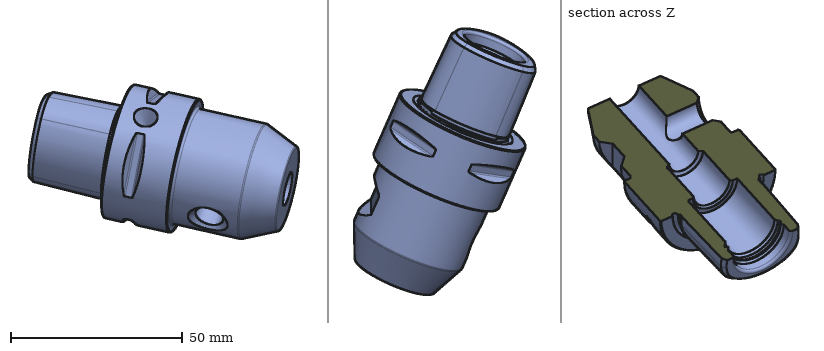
import cadquery as cq
import math

LENGTH = 75.0
NOSE_LENGTH = 1.5
TAPER_END = 22.35
COLLAR_FRONT = 23.55
FLANGE_FRONT = 24.0
FLANGE_LENGTH = 20.0
FLANGE_BACK = FLANGE_FRONT + FLANGE_LENGTH
CONE_START = 64.7

BASE_RADIUS = 13.95
SHANK_TAPER = 1 / 40
LOBE_HEIGHT = 0.8
NOSE_INSET = 1.0
NECK_INSET = 0.15
SIDES = 3
LOBE_SPLIT = 27.5
SPLINE_STEPS = 6

FLANGE_RADIUS = 40.0 / 2
FLANGE_CHAMFER = 0.3
COLLAR_RADIUS = 14.25
RELIEF_START = 23.25
RELIEF_FILLET = 0.7
FACE_GROOVE_WIDTH = 1.5
BODY_RADIUS = 17.25
BODY_FILLET = 0.75
CONE_END_RADIUS = 12.6
CONE_BLEND = 1.05
END_FILLET = 0.5

MOUTH_FILLET = 0.9
MOUTH_RADIUS = 9.6
MOUTH_DEPTH = 3.5
LAND_RADIUS = 18.0 / 2
LAND_START = 4.35
CLAMP_GROOVE_START = 4.8
CLAMP_GROOVE_WIDTH = 1.1
CAVITY_START = 6.9
CAVITY_RADIUS = 8.5
CAVITY_END = 27.0
COUPLING_BORE_RADIUS = 12.4 / 2
COUPLING_CHAMFER = 0.7
COUPLING_BORE_END = 42.0
TOOL_BORE_RADIUS = 10.0 / 2
STEP_HALF_ANGLE = 59.0

GRIP_X = FLANGE_FRONT + 8.0
SLOT_COUNT = 4
SLOT_FLOOR_RADIUS = 17.55
SLOT_FLOOR_WIDTH = 2.5
SLOT_WALL_ANGLE = 30.0
SLOT_FILLET = 0.5
DIMPLE_RADIUS = 7.0 / 2
DIMPLE_HALF_ANGLE = 30.0

SCREW_X = 55.6
SCREW_RADIUS = 8.4 / 2
SCREW_MOUTH_RADIUS = 6.0
FLAT_DISTANCE = 14.4
FLAT_FLOOR_WIDTH = 6.15
FLAT_END_ANGLE = 45.0

CLEARANCE = 1.5


def revolve(profile):
    """Turn a closed (x, radius) profile about the X axis."""
    return profile.close().revolve(360, (0, 0), (1, 0))


def polygon_point(x, mean_radius, angle):
    """Point on the three-lobed outline whose outward normal lies at `angle` from +Z."""
    lobe = LOBE_HEIGHT * math.cos(SIDES * angle)
    slope = -SIDES * LOBE_HEIGHT * math.sin(SIDES * angle)
    support = mean_radius + lobe
    up = support * math.cos(angle) - slope * math.sin(angle)
    across = support * math.sin(angle) + slope * math.cos(angle)
    return cq.Vector(x, across, up)


def polygon_wire(x, mean_radius):
    """Closed outline at station x, split where the lobes meet the flatter sides."""
    pitch = 360 / SIDES
    edges = []
    for side in range(SIDES):
        crest = side * pitch
        stops = (crest - LOBE_SPLIT, crest + LOBE_SPLIT, crest + pitch - LOBE_SPLIT)
        for first, last in zip(stops, stops[1:]):
            step = (last - first) / SPLINE_STEPS
            angles = [math.radians(first + i * step) for i in range(SPLINE_STEPS + 1)]
            points = [polygon_point(x, mean_radius, a) for a in angles]
            tangents = [cq.Vector(0, math.cos(a), -math.sin(a)) for a in (angles[0], angles[-1])]
            edges.append(cq.Edge.makeSpline(points, tangents))
    return cq.Wire.assembleEdges(edges)


def polygon_section(start, start_radius, end, end_radius):
    wires = [polygon_wire(start, start_radius), polygon_wire(end, end_radius)]
    return cq.Workplane(cq.Solid.makeLoft(wires, True))


def shank():
    nose_radius = BASE_RADIUS - SHANK_TAPER * (TAPER_END - NOSE_LENGTH)
    neck_radius = BASE_RADIUS - NECK_INSET
    nose = polygon_section(0, nose_radius - NOSE_INSET, NOSE_LENGTH, nose_radius)
    taper = polygon_section(NOSE_LENGTH, nose_radius, TAPER_END, BASE_RADIUS)
    neck = polygon_section(TAPER_END, neck_radius, FLANGE_FRONT, neck_radius)
    return nose.union(taper).union(neck)


def neck_relief():
    """Ring that trims the lobes down to the collar radius through a concave fillet."""
    fillet_start = RELIEF_START - RELIEF_FILLET
    fillet_top = COLLAR_RADIUS + RELIEF_FILLET
    fillet_middle = RELIEF_FILLET * math.sqrt(0.5)
    outer = fillet_top + CLEARANCE
    return revolve(
        cq.Workplane("XY")
        .moveTo(fillet_start, outer)
        .lineTo(fillet_start, fillet_top)
        .threePointArc(
            (RELIEF_START - fillet_middle, fillet_top - fillet_middle),
            (RELIEF_START, COLLAR_RADIUS),
        )
        .lineTo(FLANGE_FRONT, COLLAR_RADIUS)
        .lineTo(FLANGE_FRONT, outer)
    )


def flange():
    """Flange with a round-bottomed groove between its front face and the collar."""
    groove_outer = COLLAR_RADIUS + FACE_GROOVE_WIDTH
    groove_depth = FACE_GROOVE_WIDTH / 2
    chamfered_radius = FLANGE_RADIUS - FLANGE_CHAMFER
    return revolve(
        cq.Workplane("XY")
        .moveTo(COLLAR_FRONT, 0)
        .lineTo(COLLAR_FRONT, COLLAR_RADIUS)
        .lineTo(FLANGE_FRONT, COLLAR_RADIUS)
        .threePointArc(
            (FLANGE_FRONT + groove_depth, COLLAR_RADIUS + groove_depth),
            (FLANGE_FRONT, groove_outer),
        )
        .lineTo(FLANGE_FRONT, chamfered_radius)
        .lineTo(FLANGE_FRONT + FLANGE_CHAMFER, FLANGE_RADIUS)
        .lineTo(FLANGE_BACK - FLANGE_CHAMFER, FLANGE_RADIUS)
        .lineTo(FLANGE_BACK, chamfered_radius)
        .lineTo(FLANGE_BACK, 0)
    )


def body():
    """Cylindrical body with a conical clamping end and a filleted root at the flange."""
    barrel = revolve(
        cq.Workplane("XY")
        .moveTo(FLANGE_BACK, 0)
        .lineTo(FLANGE_BACK, BODY_RADIUS)
        .lineTo(CONE_START, BODY_RADIUS)
        .lineTo(LENGTH, CONE_END_RADIUS)
        .lineTo(LENGTH, 0)
    )
    barrel = barrel.faces(">X").edges().fillet(END_FILLET)
    cone_edge = cq.selectors.RadiusNthSelector(-1)
    barrel = barrel.faces("%CONE").edges(cone_edge).fillet(CONE_BLEND)
    root_middle = BODY_FILLET * (1 - math.sqrt(0.5))
    root = revolve(
        cq.Workplane("XY")
        .moveTo(FLANGE_BACK, BODY_RADIUS - BODY_FILLET)
        .lineTo(FLANGE_BACK, BODY_RADIUS + BODY_FILLET)
        .threePointArc(
            (FLANGE_BACK + root_middle, BODY_RADIUS + root_middle),
            (FLANGE_BACK + BODY_FILLET, BODY_RADIUS),
        )
        .lineTo(FLANGE_BACK + BODY_FILLET, BODY_RADIUS - BODY_FILLET)
    )
    return barrel.union(root)


def bore():
    """Through bore: rounded mouth, clamping groove, cavity, coupling bore and tool bore."""
    mouth_middle = MOUTH_FILLET * (1 - math.sqrt(0.5))
    groove_end = CLAMP_GROOVE_START + CLAMP_GROOVE_WIDTH
    groove_depth = CLAMP_GROOVE_WIDTH / 2
    bore_step = COUPLING_BORE_RADIUS - TOOL_BORE_RADIUS
    step_length = bore_step / math.tan(math.radians(STEP_HALF_ANGLE))
    return revolve(
        cq.Workplane("XY")
        .moveTo(0, 0)
        .lineTo(0, MOUTH_RADIUS + MOUTH_FILLET)
        .threePointArc((mouth_middle, MOUTH_RADIUS + mouth_middle), (MOUTH_FILLET, MOUTH_RADIUS))
        .lineTo(MOUTH_DEPTH, MOUTH_RADIUS)
        .lineTo(LAND_START, LAND_RADIUS)
        .lineTo(CLAMP_GROOVE_START, LAND_RADIUS)
        .threePointArc(
            (CLAMP_GROOVE_START + groove_depth, LAND_RADIUS + groove_depth),
            (groove_end, LAND_RADIUS),
        )
        .lineTo(CAVITY_START, CAVITY_RADIUS)
        .lineTo(CAVITY_END, CAVITY_RADIUS)
        .lineTo(CAVITY_END, COUPLING_BORE_RADIUS + COUPLING_CHAMFER)
        .lineTo(CAVITY_END + COUPLING_CHAMFER, COUPLING_BORE_RADIUS)
        .lineTo(COUPLING_BORE_END, COUPLING_BORE_RADIUS)
        .lineTo(COUPLING_BORE_END + step_length, TOOL_BORE_RADIUS)
        .lineTo(LENGTH, TOOL_BORE_RADIUS)
        .lineTo(LENGTH, 0)
    )


def trapezoid_bar(x, floor, floor_width, top, wall_angle, length):
    """Bar along Z, centred on x, whose section widens from `floor` to `top` along +Y."""
    half_floor = floor_width / 2
    half_top = half_floor + (top - floor) * math.tan(math.radians(wall_angle))
    outline = [
        (x - half_floor, floor),
        (x + half_floor, floor),
        (x + half_top, top),
        (x - half_top, top),
    ]
    return cq.Workplane("XY").polyline(outline).close().extrude(length / 2, both=True)


def gripper_slots():
    """Straight slots with flared walls across the flange, midway between the Y and Z axes."""
    top = FLANGE_RADIUS + CLEARANCE
    slot = trapezoid_bar(
        GRIP_X, SLOT_FLOOR_RADIUS, SLOT_FLOOR_WIDTH, top, SLOT_WALL_ANGLE, 2 * FLANGE_RADIUS
    )
    slot = slot.faces("<Y").edges("|Z").fillet(SLOT_FILLET)
    pitch = 360 / SLOT_COUNT
    slots = cq.Workplane("XY")
    for i in range(SLOT_COUNT):
        slots = slots.add(slot.rotate((0, 0, 0), (1, 0, 0), pitch * (i + 0.5)))
    return slots.combine()


def orientation_dimple():
    """Pointed conical dimple in the top of the flange."""
    slope = math.tan(math.radians(DIMPLE_HALF_ANGLE))
    depth = DIMPLE_RADIUS / slope
    cone = cq.Solid.makeCone(
        0,
        DIMPLE_RADIUS + CLEARANCE * slope,
        depth + CLEARANCE,
        cq.Vector(GRIP_X, 0, FLANGE_RADIUS - depth),
        cq.Vector(0, 0, 1),
    )
    return cq.Workplane(cone)


def screw_hole():
    """Clamping screw hole from -Y to the tool bore, with a 45 degree countersink."""
    inward = cq.Vector(0, 1, 0)
    hole = cq.Solid.makeCylinder(SCREW_RADIUS, BODY_RADIUS, cq.Vector(SCREW_X, -BODY_RADIUS, 0), inward)
    countersink = cq.Solid.makeCone(
        SCREW_MOUTH_RADIUS,
        SCREW_RADIUS,
        SCREW_MOUTH_RADIUS - SCREW_RADIUS,
        cq.Vector(SCREW_X, -BODY_RADIUS, 0),
        inward,
    )
    return cq.Workplane(hole).union(cq.Workplane(countersink))


def body_flat():
    """Flat with sloping ends, cut across the whole +Y side of the body."""
    top = BODY_RADIUS + CLEARANCE
    return trapezoid_bar(
        SCREW_X, FLAT_DISTANCE, FLAT_FLOOR_WIDTH, top, FLAT_END_ANGLE, 2 * BODY_RADIUS
    )


result = (
    shank()
    .union(flange())
    .cut(neck_relief())
    .union(body())
    .cut(bore())
    .cut(gripper_slots())
    .cut(orientation_dimple())
    .cut(screw_hole())
    .cut(body_flat())
)